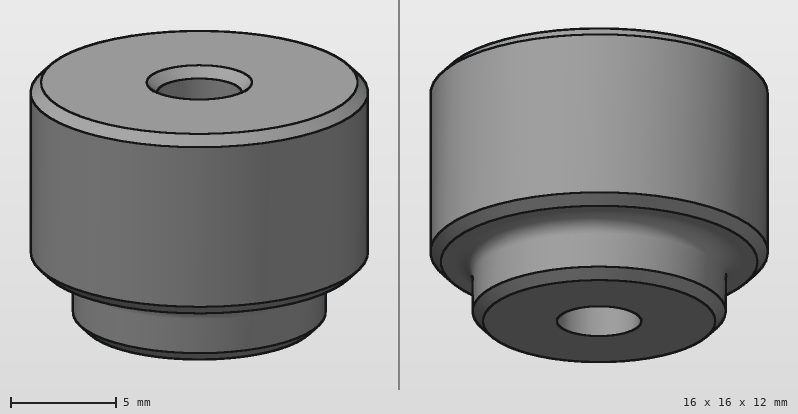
import cadquery as cq

body_diameter = 16.0
neck_diameter = 12.0
bore_diameter = 4.0
total_height = 12.0
neck_height = 3.0
edge_chamfer = 0.5
neck_fillet = 0.8

body_height = total_height - neck_height


def make_body():
    """Upper cylinder with both rims chamfered."""
    body = cq.Workplane("XY").workplane(offset=neck_height).circle(body_diameter / 2).extrude(body_height)
    return body.faces("<Z or >Z").edges().chamfer(edge_chamfer)


def make_neck():
    """Lower, narrower cylinder with its bottom rim chamfered."""
    neck = cq.Workplane("XY").circle(neck_diameter / 2).extrude(neck_height)
    return neck.faces("<Z").edges().chamfer(edge_chamfer)


def make_neck_fillet():
    """Ring that flares the neck into the shoulder with a concave quarter round."""
    neck_radius = neck_diameter / 2
    flare_radius = neck_radius + neck_fillet
    return (
        cq.Workplane("XZ")
        .moveTo(0, neck_height - neck_fillet)
        .lineTo(neck_radius, neck_height - neck_fillet)
        .radiusArc((flare_radius, neck_height), neck_fillet)
        .lineTo(0, neck_height)
        .close()
        .revolve(360, (0, 0, 0), (0, 1, 0))
    )


solid = make_body().union(make_neck()).union(make_neck_fillet())

countersink_diameter = bore_diameter + 2 * edge_chamfer
result = solid.faces(">Z").workplane().cskHole(bore_diameter, countersink_diameter, 90)